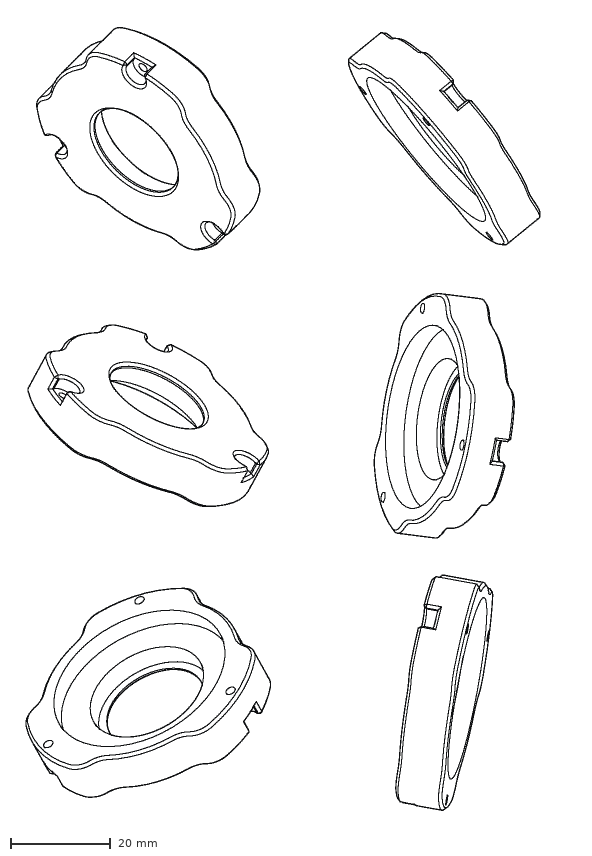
import cadquery as cq
import math

thickness = 9.5
lobe_radius = 25.0
valley_radius = 21.5
blend_radius = 5.0
lobe_half_angle = 21.8
chamfer_size = 0.6

lip_diameter = 21.0
lip_depth = 1.0
seat_diameter = 24.5
recess_depth = 4.0
recess_diameter = 37.0

lobe_count = 3
screw_circle_radius = 22.75
screw_hole_diameter = 2.0
pocket_radius = 2.5
pocket_depth = 3.0
slot_width = 4.34

lobe_pitch = 360.0 / lobe_count
lobe_angles = [90.0 + i * lobe_pitch for i in range(lobe_count)]


def polar(radius, angle):
    """Point at a radius and an angle in degrees from +X toward +Z."""
    a = math.radians(angle)
    return (radius * math.cos(a), radius * math.sin(a))


def valley_offset_angle():
    """Angle from a lobe centreline to where its blend meets the valley arc."""
    crest_centre = lobe_radius - blend_radius
    root_centre = valley_radius + blend_radius
    centre_gap = 2 * blend_radius
    cos_between = (crest_centre**2 + root_centre**2 - centre_gap**2) / (2 * crest_centre * root_centre)
    return lobe_half_angle + math.degrees(math.acos(cos_between))


def arc_middle(start, end, centre, radius):
    """Point halfway along the short arc from start to end."""
    dx = (start[0] + end[0]) / 2 - centre[0]
    dz = (start[1] + end[1]) / 2 - centre[1]
    scale = radius / math.hypot(dx, dz)
    return (centre[0] + dx * scale, centre[1] + dz * scale)


def blend_points(angle, side):
    """Lobe-to-valley blend, as (end on lobe, middle, inflection, middle, end on valley)."""
    crest_angle = angle + side * lobe_half_angle
    root_angle = angle + side * valley_offset_angle()
    crest_centre = polar(lobe_radius - blend_radius, crest_angle)
    root_centre = polar(valley_radius + blend_radius, root_angle)
    lobe_end = polar(lobe_radius, crest_angle)
    valley_end = polar(valley_radius, root_angle)
    inflection = ((crest_centre[0] + root_centre[0]) / 2, (crest_centre[1] + root_centre[1]) / 2)
    crest_middle = arc_middle(lobe_end, inflection, crest_centre, blend_radius)
    root_middle = arc_middle(inflection, valley_end, root_centre, blend_radius)
    return lobe_end, crest_middle, inflection, root_middle, valley_end


def make_plate():
    """Three-lobed plate, without bore or pockets."""
    outline = cq.Workplane("XZ").moveTo(*polar(lobe_radius, lobe_angles[0] - lobe_half_angle))
    for angle in lobe_angles:
        lobe_end, crest_middle, inflection, root_middle, valley_end = blend_points(angle, 1)
        next_angle = angle + lobe_pitch
        next_lobe_start, next_crest_middle, next_inflection, next_root_middle, next_valley_end = (
            blend_points(next_angle, -1)
        )
        outline = (
            outline.threePointArc(polar(lobe_radius, angle), lobe_end)
            .threePointArc(crest_middle, inflection)
            .threePointArc(root_middle, valley_end)
            .threePointArc(polar(valley_radius, angle + lobe_pitch / 2), next_valley_end)
            .threePointArc(next_root_middle, next_inflection)
            .threePointArc(next_crest_middle, next_lobe_start)
        )
    return outline.close().extrude(-thickness)


def pocket_cutter(angle):
    """Round screw seat with a straight-sided slot running out through the rim."""
    slot_length = 2 * pocket_radius
    seat = (
        cq.Workplane("XZ")
        .center(screw_circle_radius, 0)
        .circle(pocket_radius)
        .extrude(-pocket_depth)
    )
    slot = (
        cq.Workplane("XZ")
        .center(screw_circle_radius + slot_length / 2, 0)
        .rect(slot_length, slot_width)
        .extrude(-pocket_depth)
    )
    return seat.union(slot).rotate((0, 0, 0), (0, -1, 0), angle)


def is_pocket_mouth_edge(edge):
    """True for the sides and floor edge of a slot where it breaks through the rim."""
    tolerance = 0.1
    centre = edge.Center()
    on_rim = math.hypot(centre.x, centre.z) > lobe_radius - tolerance
    behind_front_face = tolerance < centre.y < pocket_depth + tolerance
    return on_rim and behind_front_face


def chamfer_edges(body):
    """Chamfer the edges of the front and back faces and the pocket mouths."""
    face_edges = body.faces("<Y or >Y").edges().vals()
    mouth_edges = [edge for edge in body.edges().vals() if is_pocket_mouth_edge(edge)]
    return body.newObject(face_edges + mouth_edges).chamfer(chamfer_size)


def bore_cutter():
    """Stepped bore revolved about the Y axis, with a chamfered front lip."""
    lip_radius = lip_diameter / 2
    seat_radius = seat_diameter / 2
    recess_radius = recess_diameter / 2
    seat_end = thickness - recess_depth
    return (
        cq.Workplane("XY")
        .moveTo(0, 0)
        .lineTo(lip_radius + chamfer_size, 0)
        .lineTo(lip_radius, chamfer_size)
        .lineTo(lip_radius, lip_depth)
        .lineTo(seat_radius, lip_depth)
        .lineTo(seat_radius, seat_end)
        .lineTo(recess_radius, seat_end)
        .lineTo(recess_radius, thickness)
        .lineTo(0, thickness)
        .close()
        .revolve(360, (0, 0, 0), (0, 1, 0))
    )


def screw_hole_cutter(angle):
    """Through hole at the centre of a screw seat."""
    return (
        cq.Workplane("XZ")
        .center(*polar(screw_circle_radius, angle))
        .circle(screw_hole_diameter / 2)
        .extrude(-thickness)
    )


result = make_plate()
for lobe_angle in lobe_angles:
    result = result.cut(pocket_cutter(lobe_angle))
result = chamfer_edges(result)
for lobe_angle in lobe_angles:
    result = result.cut(screw_hole_cutter(lobe_angle))
result = result.cut(bore_cutter())